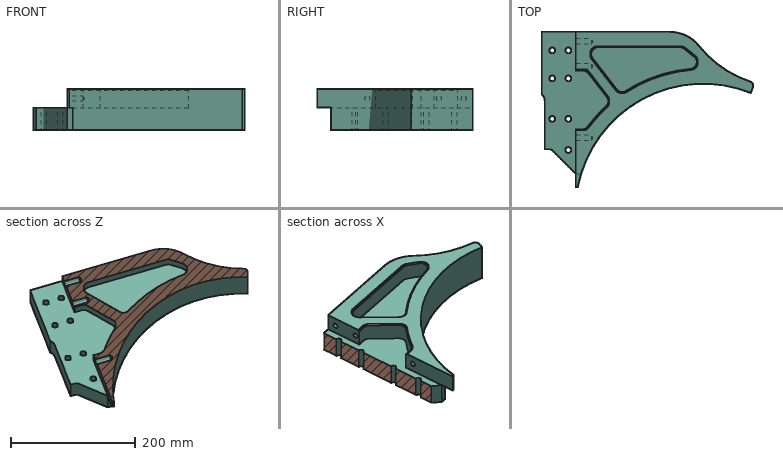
import cadquery as cq
import math


foot_height = 36.0
total_height = 66.0
wall_height = total_height - foot_height

front_radius = 205.0
body_left_x = 54.3
front_center = (body_left_x + front_radius, -288.7)
front_end_y = -250.0
tip_angle = 68.1

back_convex_radius = 60.0
back_concave_radius = 175.0
back_convex_center = (205.8, -back_convex_radius)
back_blend_angle = 38.5
tip_radius = 7.5

foot_step_x = 4.6
foot_step_y = -111.2
foot_step_radius = 15.0
foot_corner_y = -189.0
foot_corner_radius = 7.5
foot_end_y = -228.0

rib_angle = 127.7
rib_width = 20.0

rim_chamfer = 2.0
pocket_back_y = -25.0
opening_front_radius = front_radius + 25.0
pocket_end_point = (237.3, -34.0)
pocket_end_angle = -38.7
opening_round = 11.0
notch_back_y = -62.5
notch_front_y = -156.5

foot_hole_diameter = 9.0
foot_hole_places = [(x, y) for x in (16.8, 42.8) for y in (-30.0, -75.0, -140.0)]
foot_hole_places.append((42.8, -190.0))
face_hole_diameter = 8.38
face_hole_depth = 25.0
face_hole_z = 51.0
face_hole_ys = (-15.0, -55.0, -170.0)
drill_tip_angle = 118.0


def polar(center, radius, angle):
    """Point at the given radius and direction (degrees) from a centre."""
    a = math.radians(angle)
    return (center[0] + radius * math.cos(a), center[1] + radius * math.sin(a))


back_concave_center = polar(back_convex_center, back_convex_radius + back_concave_radius, back_blend_angle)


def line_at_y(point, angle, y):
    """Point of a line (given by a point and a direction) at the height y."""
    return (point[0] + (y - point[1]) / math.tan(math.radians(angle)), y)


def line_on_circle(point, angle, center, radius):
    """First point where a ray from a point in a direction meets a circle."""
    a = math.radians(angle)
    dx, dy = point[0] - center[0], point[1] - center[1]
    along = dx * math.cos(a) + dy * math.sin(a)
    root = math.sqrt(along**2 - (dx**2 + dy**2 - radius**2))
    near, far = -along - root, -along + root
    distance = near if near > 0 else far
    return (point[0] + distance * math.cos(a), point[1] + distance * math.sin(a))


def left_on_circle(y, radius):
    """Left point, at the height y, of a circle concentric with the front face."""
    return (front_center[0] - math.sqrt(radius**2 - (y - front_center[1]) ** 2), y)


def angle_from(center, point):
    """Direction (degrees, 0 to 360) from a centre to a point."""
    return math.degrees(math.atan2(point[1] - center[1], point[0] - center[0])) % 360


def arc_along(sketch, center, radius, start, end):
    """Continue an outline around a centre from start to end without crossing direction zero."""
    middle = (angle_from(center, start) + angle_from(center, end)) / 2
    return sketch.threePointArc(polar(center, radius, middle), end)


def round_corner(solid, corner, radius):
    """Round the upright edge of a solid that stands at the given corner."""
    nearest = cq.selectors.NearestToPointSelector((*corner, solid.val().Center().z))
    return solid.edges("|Z").edges(nearest).fillet(radius)


def tip_ends():
    """Front and back corners of the tip, the latter before it is rounded."""
    front_tip = polar(front_center, front_radius, tip_angle)
    back_tip = line_on_circle(front_tip, tip_angle, back_concave_center, back_concave_radius)
    return front_tip, back_tip


def arm_outline(sketch, left_end):
    """Continue an outline from the back edge around the tip to the front face's left end."""
    front_tip, back_tip = tip_ends()
    convex_start = (back_convex_center[0], 0.0)
    blend = polar(back_convex_center, back_convex_radius, back_blend_angle)
    sketch = sketch.lineTo(*convex_start)
    sketch = arc_along(sketch, back_convex_center, back_convex_radius, convex_start, blend)
    sketch = arc_along(sketch, back_concave_center, back_concave_radius, blend, back_tip)
    sketch = sketch.lineTo(*front_tip)
    return arc_along(sketch, front_center, front_radius, front_tip, left_end)


def make_foot():
    """Full-depth lower plate with its stepped left edge and mounting holes."""
    corner_angle = 45.0
    corner_run = foot_corner_radius * math.sin(math.radians(corner_angle))
    diagonal_start_y = foot_corner_y - foot_corner_radius + corner_run
    diagonal_start = (body_left_x - (diagonal_start_y - foot_end_y), diagonal_start_y)
    corner_center = (diagonal_start[0] - corner_run, foot_corner_y - foot_corner_radius)
    corner_start = (corner_center[0], foot_corner_y)

    step_center = (foot_step_x - foot_step_radius, foot_step_y)
    step_angle = math.degrees(math.acos(-step_center[0] / foot_step_radius))
    step_top = polar(step_center, foot_step_radius, step_angle)
    step_middle = polar(step_center, foot_step_radius, step_angle / 2)

    sketch = arm_outline(cq.Workplane().moveTo(0, 0), left_on_circle(foot_end_y, front_radius))
    sketch = sketch.lineTo(body_left_x, foot_end_y).lineTo(*diagonal_start)
    sketch = arc_along(sketch, corner_center, foot_corner_radius, diagonal_start, corner_start)
    sketch = sketch.lineTo(foot_step_x, foot_corner_y).lineTo(foot_step_x, foot_step_y)
    sketch = sketch.threePointArc(step_middle, step_top)
    foot = sketch.close().extrude(foot_height)
    holes = cq.Workplane().pushPoints(foot_hole_places).circle(foot_hole_diameter / 2)
    return foot.cut(holes.extrude(foot_height))


def make_body():
    """Upper plate, set back from the foot's left edge, before its openings are cut."""
    start = cq.Workplane().workplane(offset=foot_height).moveTo(body_left_x, 0)
    sketch = arm_outline(start, left_on_circle(front_end_y, front_radius))
    return sketch.lineTo(body_left_x, front_end_y).close().extrude(wall_height)


def make_pocket():
    """Closed opening between the back edge, the rib and the front wall."""
    rib_line = polar(front_center, rib_width / 2, rib_angle - 90)
    back_left = line_at_y(rib_line, rib_angle, pocket_back_y)
    front_left = line_on_circle(rib_line, rib_angle, front_center, opening_front_radius)
    back_right = line_at_y(pocket_end_point, pocket_end_angle, pocket_back_y)
    front_right = line_on_circle(pocket_end_point, pocket_end_angle, front_center, opening_front_radius)
    sketch = cq.Workplane().workplane(offset=foot_height).moveTo(*back_left)
    sketch = sketch.lineTo(*back_right).lineTo(*front_right)
    sketch = arc_along(sketch, front_center, opening_front_radius, front_right, front_left)
    pocket = sketch.close().extrude(wall_height)
    for corner in (back_left, back_right, front_right, front_left):
        pocket = round_corner(pocket, corner, opening_round)
    return pocket


def make_notch():
    """Opening through the left face, on the other side of the rib."""
    rib_line = polar(front_center, rib_width / 2, rib_angle + 90)
    back = line_at_y(rib_line, rib_angle, notch_back_y)
    apex = line_on_circle(rib_line, rib_angle, front_center, opening_front_radius)
    front = left_on_circle(notch_front_y, opening_front_radius)
    sketch = cq.Workplane().workplane(offset=foot_height).moveTo(body_left_x, notch_back_y)
    sketch = sketch.lineTo(*back).lineTo(*apex)
    sketch = arc_along(sketch, front_center, opening_front_radius, apex, front)
    notch = sketch.lineTo(body_left_x, notch_front_y).close().extrude(wall_height)
    for corner in (back, apex, front):
        notch = round_corner(notch, corner, opening_round)
    return notch


def cut_opening(body, opening):
    """Cut an opening from the body and chamfer the rim it leaves in the top face."""
    cut_body = body.cut(opening)
    coincident = 0.01
    rim_middles = [edge.positionAt(0.5) for edge in opening.faces(">Z").edges().vals()]

    def on_rim(edge):
        return any((edge.positionAt(0.5) - middle).Length < coincident for middle in rim_middles)

    return cut_body.faces(">Z").edges().filter(on_rim).chamfer(rim_chamfer)


def make_face_holes():
    """Blind drilled holes into the left face of the upper plate."""
    radius = face_hole_diameter / 2
    tip_length = radius / math.tan(math.radians(drill_tip_angle / 2))
    profile = [(0, 0), (0, radius), (face_hole_depth, radius), (face_hole_depth + tip_length, 0)]
    drill = cq.Workplane().polyline(profile).close().revolve(360, (0, 0), (1, 0))
    holes = cq.Workplane()
    for y in face_hole_ys:
        holes = holes.add(drill.translate((body_left_x, y, face_hole_z)))
    return holes.combine()


body = cut_opening(make_body(), make_pocket())
body = cut_opening(body, make_notch())
part = make_foot().union(body).cut(make_face_holes())
result = round_corner(part, tip_ends()[1], tip_radius)